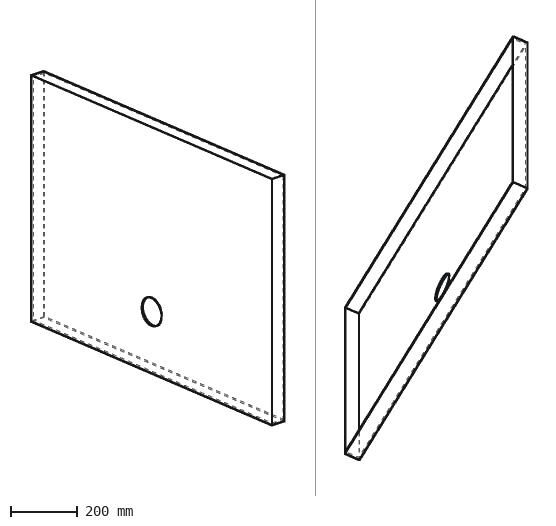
import cadquery as cq

width = 1100.0
depth = 50.0
height = 800.0
wall = 5.0

hole_diameter = 90.0
hole_height = 200.0

tray = cq.Workplane("XY").box(width, depth, height).faces(">Y").shell(-wall)

hole = (
    cq.Workplane("XZ")
    .center(0, hole_height - height / 2)
    .circle(hole_diameter / 2)
    .extrude(depth, both=True)
)

result = tray.cut(hole)